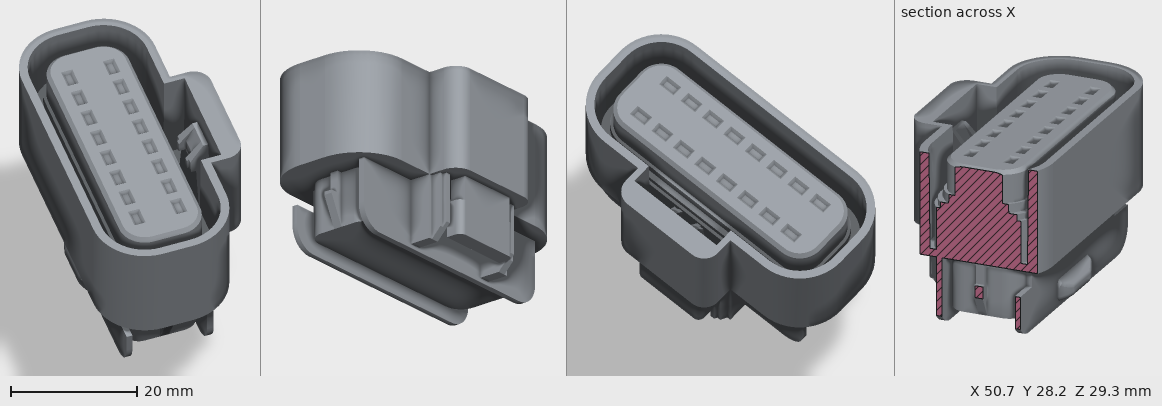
import cadquery as cq
import math


length = 50.7
depth = 22.3
height = 29.3
skirt_bottom = 11.7
corner_radius = 8.6
wall = 1.35
floor_top = skirt_bottom + wall
draft_inset = 0.15

center_x = length / 2 - corner_radius
center_y = depth / 2 - corner_radius

tab_half_width = 9.7
tab_end_y = 17.05
tab_radius = 2.95
window_half_width = 8.6
window_end_y = 13.25

core_radius = 4.25
core_top = 28.25
core_bevel = 0.6
core_bevel_height = 0.6
shoulder_radius = 4.8
shoulder_draft = 1.0
shoulder_top = 22.8
seal_radius = 6.25
seal_top = 20.3
seal_lip_radius = 5.75
seal_lip_top = 21.3

pockets_per_row = 8
row_length = 31.45
pocket_pitch = row_length / (pockets_per_row - 1)
row_spacing = 7.0
pocket_length = 3.05
pocket_width = 1.9
pocket_depth = 0.5
pocket_inset = 0.48

lever_top = 25.35
lever_top_half_width = 2.55
lever_base_half_width = 4.85
lever_front_y = 10.9
hook_front_y = 10.05
hook_ridge_y = 12.35
hook_shoulder = 22.7
hook_bottom = 20.8
nose_front_y = 9.75
nose_half_width = 2.3
groove_width = 3.1
groove_front_y = 10.95

block_half_length = 18.95
block_half_depth = 6.3
block_bottom = 2.35
block_radius = 3.0
plate_half_length = 21.45
front_plate_thickness = 0.95
back_plate_thickness = 1.05
plate_radius = 4.05
notch_bottom = 7.25
notch_inner_x = 16.1

barb_thickness = 1.45
barb_stem_x = 19.9
barb_ledge = 7.95
barb_tip_bottom = 7.4

bump_half_width = 6.2
bump_face_half_width = 3.15
bump_top = 4.65
bump_bottom = 0.9
bump_reach = 1.6
bump_edge_reach = 0.35
bump_face_top = 2.95
bump_bottom_radius = 1.0
bump_edge_radius = 0.75
bump_corner_radius = 0.75
bump_arc_x = 4.85
bump_arc_reach = 1.05

rail_thickness = 2.05
rail_bottom = 0.7
rail_end_y = 13.65
rail_slant_top = 3.3
first_step_y = 11.15
second_step_y = 12.9
rail_step = 0.6
pad_half_width = 6.6
pad_front_y = 12.15
pad_end_y = 15.05
pad_bottom = 1.55
pad_top = 7.55
pad_radius = 1.15
stem_half_width = 5.6


def box(x0, x1, y0, y1, z0, z1):
    """Axis-aligned block between the given limits."""
    return cq.Workplane("XY").box(x1 - x0, y1 - y0, z1 - z0, centered=False).translate((x0, y0, z0))


def ring_outline(radius, z):
    """Rounded rectangle with the shared corner centres at height z."""
    sketch = cq.Sketch().rect(2 * (center_x + radius), 2 * (center_y + radius)).vertices().fillet(radius)
    return cq.Workplane("XY").workplane(offset=z).placeSketch(sketch)


def ring_solid(radius, bottom, top):
    return ring_outline(radius, bottom).extrude(top - bottom)


def side_profile(points, half_width):
    """Prism symmetric in X, from (Y, Z) points."""
    return cq.Workplane("YZ").polyline(points).close().extrude(half_width, both=True)


def make_skirt():
    tab = box(-tab_half_width, tab_half_width, 0, tab_end_y, skirt_bottom, height)
    tab = tab.edges("|Z and >Y").fillet(tab_radius)
    skirt = ring_solid(corner_radius, skirt_bottom, height).union(tab)
    cavity_depth = height - floor_top
    draft = math.degrees(math.atan(draft_inset / cavity_depth))
    cavity = ring_outline(corner_radius - wall, height).extrude(-cavity_depth, taper=draft)
    window = (
        cq.Workplane("XY")
        .workplane(offset=height)
        .center(0, window_end_y / 2)
        .rect(2 * window_half_width, window_end_y)
        .extrude(-cavity_depth, taper=draft)
    )
    return skirt.cut(cavity).cut(window)


def make_core():
    core = ring_solid(core_radius, skirt_bottom, core_top)
    core = core.faces(">Z").chamfer(core_bevel_height, core_bevel)
    shoulder = ring_outline(shoulder_radius, seal_top).extrude(shoulder_top - seal_top, taper=shoulder_draft)
    seal = ring_solid(seal_radius, skirt_bottom, seal_top)
    seal_lip = ring_solid(seal_lip_radius, skirt_bottom, seal_lip_top)
    return core.union(shoulder).union(seal).union(seal_lip)


def make_pockets():
    taper = math.degrees(math.atan(pocket_inset / pocket_depth))
    return (
        cq.Workplane("XY")
        .workplane(offset=core_top)
        .rarray(pocket_pitch, row_spacing, pockets_per_row, 2)
        .rect(pocket_length, pocket_width)
        .extrude(-pocket_depth, taper=taper)
    )


def make_lever():
    hook_slope = (lever_top - hook_shoulder) / (hook_ridge_y - hook_front_y)
    nose_shoulder = hook_shoulder - hook_slope * (hook_front_y - nose_front_y)
    hook = side_profile(
        [
            (window_end_y + wall, skirt_bottom),
            (window_end_y + wall, lever_top),
            (hook_ridge_y, lever_top),
            (hook_front_y, hook_shoulder),
            (hook_front_y, hook_bottom),
            (lever_front_y, hook_bottom),
            (lever_front_y, skirt_bottom),
        ],
        lever_base_half_width,
    )
    front_outline = (
        cq.Workplane("XZ")
        .polyline(
            [
                (-lever_base_half_width, skirt_bottom),
                (-lever_top_half_width, lever_top),
                (lever_top_half_width, lever_top),
                (lever_base_half_width, skirt_bottom),
            ]
        )
        .close()
        .extrude(-tab_end_y)
    )
    groove = side_profile(
        [
            (hook_ridge_y, lever_top),
            (groove_front_y, hook_shoulder),
            (groove_front_y, hook_bottom),
            (nose_front_y, hook_bottom),
            (nose_front_y, lever_top),
        ],
        groove_width / 2,
    )
    nose = side_profile(
        [
            (hook_front_y, hook_shoulder),
            (nose_front_y, nose_shoulder),
            (nose_front_y, hook_bottom),
            (hook_front_y, hook_bottom),
        ],
        nose_half_width,
    )
    return hook.intersect(front_outline).union(nose).cut(groove)


def make_plate(y0, y1):
    plate = box(-plate_half_length, plate_half_length, y0, y1, 0, skirt_bottom)
    return plate.edges("|Y and <Z").fillet(plate_radius)


def make_rear():
    block = box(
        -block_half_length, block_half_length, -block_half_depth, block_half_depth, block_bottom, skirt_bottom
    ).edges("|Z").fillet(block_radius)
    front_y = -block_half_depth - front_plate_thickness
    front_plate = make_plate(front_y, -block_half_depth)
    for x0, x1 in ((-plate_half_length, -notch_inner_x), (notch_inner_x, plate_half_length)):
        front_plate = front_plate.cut(box(x0, x1, front_y, -block_half_depth, notch_bottom, skirt_bottom))
    back_plate = make_plate(block_half_depth, block_half_depth + back_plate_thickness)
    return block.union(front_plate).union(back_plate)


def make_barbs():
    """Snap barbs on both ends, one prism running through the block."""
    half_outline = [
        (block_half_length, block_bottom),
        (plate_half_length, barb_tip_bottom),
        (plate_half_length, barb_ledge),
        (barb_stem_x, barb_ledge),
        (barb_stem_x, skirt_bottom),
    ]
    mirrored = [(-x, z) for x, z in reversed(half_outline)]
    return cq.Workplane("XZ").polyline(half_outline + mirrored).close().extrude(barb_thickness / 2, both=True)


def make_bump():
    plate_y = -block_half_depth - front_plate_thickness
    edge_y = plate_y - bump_edge_reach
    face_y = plate_y - bump_reach
    arc_y = plate_y - bump_arc_reach
    root_y = -block_half_depth
    slope = (bump_top - bump_face_top) / bump_reach
    root_top = bump_top + slope * front_plate_thickness
    bump = (
        cq.Workplane("XY")
        .workplane(offset=bump_bottom)
        .moveTo(-bump_half_width, root_y)
        .lineTo(-bump_half_width, edge_y)
        .threePointArc((-bump_arc_x, arc_y), (-bump_face_half_width, face_y))
        .lineTo(bump_face_half_width, face_y)
        .threePointArc((bump_arc_x, arc_y), (bump_half_width, edge_y))
        .lineTo(bump_half_width, root_y)
        .close()
        .extrude(root_top - bump_bottom)
    )
    above_slope = side_profile(
        [(root_y, root_top), (face_y, root_top), (face_y, bump_face_top)],
        bump_half_width,
    )
    bump = bump.edges("|Z and <Y").fillet(bump_corner_radius).cut(above_slope)
    bump = bump.faces("<Z").edges("not >Y").fillet(bump_bottom_radius)
    return bump.faces(">Z").edges("not >Y").fillet(bump_edge_radius)


def make_latch_guard():
    rail_start_y = block_half_depth
    rail = side_profile(
        [
            (rail_start_y, skirt_bottom),
            (rail_end_y, skirt_bottom),
            (rail_end_y, rail_slant_top),
            (first_step_y, rail_bottom),
            (rail_start_y, rail_bottom),
        ],
        tab_half_width,
    )
    rail_inner_x = tab_half_width - rail_thickness
    rail = rail.cut(box(-rail_inner_x, rail_inner_x, rail_start_y, rail_end_y, 0, skirt_bottom))
    for level, step_y in enumerate((first_step_y, second_step_y), start=1):
        step_x = tab_half_width - level * rail_step
        for x0, x1 in ((-tab_half_width, -step_x), (step_x, tab_half_width)):
            rail = rail.cut(box(x0, x1, step_y, rail_end_y, 0, skirt_bottom))
    pad = box(-pad_half_width, pad_half_width, pad_front_y, pad_end_y, pad_bottom, pad_top)
    pad = pad.edges("|Z and >Y").fillet(pad_radius)
    stem = box(-stem_half_width, stem_half_width, pad_front_y, pad_end_y, pad_top, skirt_bottom)
    return rail.union(pad).union(stem)


result = make_skirt()
for piece in (make_core(), make_lever(), make_rear(), make_barbs(), make_bump(), make_latch_guard()):
    result = result.union(piece)
result = result.cut(make_pockets())